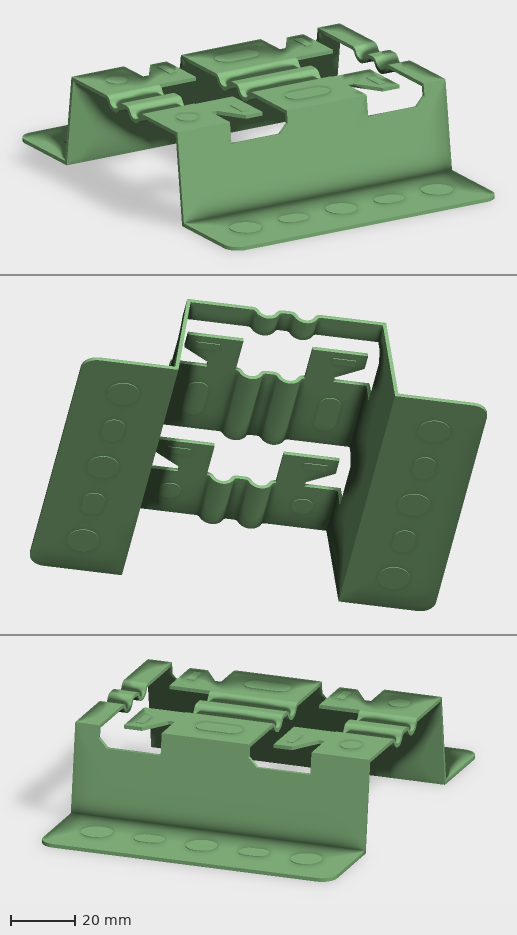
import cadquery as cq
import math

length = 128.5
width = 98.0
overall_height = 30.5
sheet = 1.2
pad_relief = 0.23

base_z = -overall_height / 2 + pad_relief
top_z = overall_height / 2 - pad_relief
bridge_half = 31.5
foot_half = 35.3
corner_radius = 5.0

groove_offset = 6.0
groove_radius = 3.0
groove_blend = 2.5

window_pitch = 50.0
window_size = 20.8
rear_window_base = 20.2
window_bases = [rear_window_base - window_pitch, rear_window_base]
window_depth = 7.1
window_chamfer = 3.0

tab_inner = 10.9
tab_outer = 28.5
tab_neck = 20.0
tab_length = 13.7
tab_shoulder = 7.7
tab_notch = 2.0

flange_pad_x = 49.2
flange_pad_pitch = 17.5
flange_round_diameter = 10.0
small_pad_width = 6.8
flange_slot_length = 10.0
bridge_pad_x = 21.0
bridge_slot_length = 15.2
bridge_slot_y = 5.0
bridge_round_y = -38.9
tab_pad_x = 21.6
tab_pad_length = 7.3
tab_pad_width = 2.7
tab_pad_rise = 9.6


def add_groove(path, middle, surface_z, inset):
    """Continue a path in +X over one groove; inset is the distance below the upper face."""
    trough = groove_radius + inset
    blend = groove_blend - inset
    centre_gap = groove_radius + groove_blend
    half_span = math.sqrt(centre_gap**2 - groove_blend**2)
    angle = math.atan2(groove_blend, half_span)
    tangent_x = trough * math.cos(angle)
    tangent_z = top_z - trough * math.sin(angle)
    half_turn = (math.pi / 2 - angle) / 2
    blend_x = half_span - blend * math.sin(half_turn)
    blend_z = top_z - groove_blend + blend * math.cos(half_turn)
    return (
        path.lineTo(middle - half_span, surface_z)
        .threePointArc((middle - blend_x, blend_z), (middle - tangent_x, tangent_z))
        .threePointArc((middle, top_z - trough), (middle + tangent_x, tangent_z))
        .threePointArc((middle + blend_x, blend_z), (middle + half_span, surface_z))
    )


def bridge_face(inset):
    """Upper or lower face line of the hat section, from the left flange to the right one."""
    flange_z = base_z + sheet - inset
    surface_z = top_z - inset
    slope = (foot_half - bridge_half) / (top_z - base_z - sheet)
    wall_shift = inset * (math.sqrt(1 + slope**2) - slope)
    foot_x = foot_half - wall_shift
    corner_x = bridge_half - wall_shift
    path = cq.Workplane("XZ").moveTo(-length / 2, flange_z).lineTo(-foot_x, flange_z)
    path = path.lineTo(-corner_x, surface_z)
    for middle in (-groove_offset, groove_offset):
        path = add_groove(path, middle, surface_z, inset)
    return path.lineTo(corner_x, surface_z).lineTo(foot_x, flange_z).lineTo(length / 2, flange_z)


def make_hat():
    """Everything under the upper face, less everything under the lower face."""
    def filled_below(inset, floor):
        outline = bridge_face(inset).lineTo(length / 2, floor).lineTo(-length / 2, floor).close()
        return outline.extrude(width / 2, both=True)

    floor = base_z - sheet
    hat = filled_below(0, floor).cut(filled_below(sheet, floor))
    return hat.edges("|Z and (<X or >X)").fillet(corner_radius)


def make_window(base_y):
    """Window cutter; its rear lower corner is chamfered."""
    rear_y = base_y + window_size
    bottom_z = top_z - window_depth
    return (
        cq.Workplane("YZ")
        .moveTo(base_y, top_z + sheet)
        .lineTo(base_y, bottom_z)
        .lineTo(rear_y - window_chamfer, bottom_z)
        .lineTo(rear_y, bottom_z + window_chamfer)
        .lineTo(rear_y, top_z + sheet)
        .close()
        .extrude(foot_half, both=True)
    )


def make_tab(base_y):
    """Right-hand hooked tab, rooted in the sheet in front of the window."""
    root_y = base_y - sheet
    return (
        cq.Workplane("XY", origin=(0, 0, top_z - sheet))
        .moveTo(tab_inner, root_y)
        .lineTo(tab_neck, root_y)
        .lineTo(tab_neck, base_y + tab_notch)
        .lineTo(tab_outer, base_y + tab_shoulder)
        .lineTo(tab_outer, base_y + tab_length)
        .lineTo(tab_inner, base_y + tab_length)
        .close()
        .extrude(sheet)
    )


def pad_plane(x, y, sheet_bottom):
    """Work plane at the lower end of a pad, below the sheet it stands out of."""
    return cq.Workplane("XY", origin=(x, y, sheet_bottom - pad_relief))


def make_pads():
    """Right-hand raised pads, standing out of both faces of the sheet."""
    thickness = sheet + 2 * pad_relief
    bridge_bottom = top_z - sheet
    pads = []
    for step in (-2, 0, 2):
        plane = pad_plane(flange_pad_x, step * flange_pad_pitch, base_z)
        pads.append(plane.circle(flange_round_diameter / 2).extrude(thickness))
    for step in (-1, 1):
        plane = pad_plane(flange_pad_x, step * flange_pad_pitch, base_z)
        pads.append(plane.slot2D(flange_slot_length, small_pad_width, 90).extrude(thickness))
    plane = pad_plane(bridge_pad_x, bridge_slot_y, bridge_bottom)
    pads.append(plane.slot2D(bridge_slot_length, small_pad_width, 90).extrude(thickness))
    plane = pad_plane(bridge_pad_x, bridge_round_y, bridge_bottom)
    pads.append(plane.circle(small_pad_width / 2).extrude(thickness))
    for base_y in window_bases:
        plane = pad_plane(tab_pad_x, base_y + tab_pad_rise, bridge_bottom)
        pads.append(plane.rect(tab_pad_length, tab_pad_width).extrude(thickness))
    return pads


result = make_hat()
for window_base in window_bases:
    result = result.cut(make_window(window_base))

right_side_features = [make_tab(window_base) for window_base in window_bases] + make_pads()
for feature in right_side_features:
    result = result.union(feature).union(feature.mirror("YZ"))